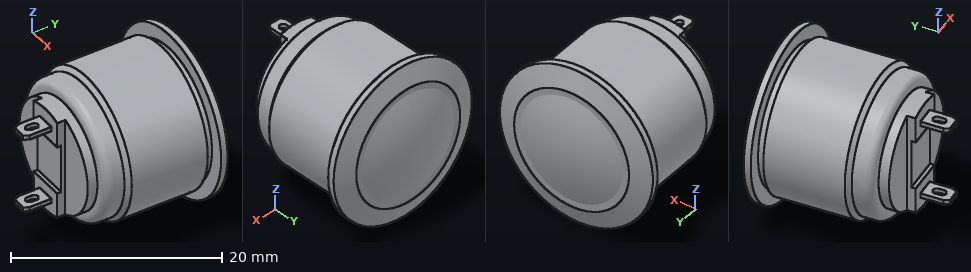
import cadquery as cq
import math


flange_radius = 18 / 2
flange_thickness = 0.75
cap_slope_height = 0.75
cap_slope_top_radius = 6.75
dome_radius = 12 / 2
dome_height = 1.07

body_radius = 15.8 / 2
neck_radius = 14.8 / 2
neck_length = 0.8
body_length = 8.55
body_chamfer = body_radius - neck_radius
collar_length = 2.15
collar_fillet = 0.9

base_radius = 12 / 2
base_length = 1.1
bar_width = 4.13
bar_height = 0.9
recess_width = 5.5
recess_depth = 0.45

terminal_spacing = 8.55
terminal_width = 2.05
terminal_thickness = 0.5
terminal_length = 3.0
tip_chamfer_side = 0.3
tip_chamfer_length = 0.55
eye_width = 0.8
eye_length = 1.35
eye_to_tip = 1.47

flange_top = flange_thickness
cap_slope_top = flange_top + cap_slope_height
dome_top = cap_slope_top + dome_height
neck_end = -neck_length
body_end = neck_end - body_length
chamfer_end = body_end - body_chamfer
collar_end = chamfer_end - collar_length
base_end = collar_end - base_length
bar_end = base_end - bar_height
terminal_end = bar_end - terminal_length


def make_housing():
    """Revolve the cap, body and collar profile about the Y axis."""
    sphere_radius = (dome_radius**2 + dome_height**2) / (2 * dome_height)
    mid_angle = math.asin(dome_radius / sphere_radius) / 2
    dome_mid = (
        sphere_radius * math.sin(mid_angle),
        dome_top - sphere_radius * (1 - math.cos(mid_angle)),
    )
    fillet_mid = (
        neck_radius - collar_fillet * (1 - math.sqrt(0.5)),
        collar_end + collar_fillet * (1 - math.sqrt(0.5)),
    )
    profile = (
        cq.Workplane("XY")
        .moveTo(0, dome_top)
        .threePointArc(dome_mid, (dome_radius, cap_slope_top))
        .lineTo(cap_slope_top_radius, cap_slope_top)
        .lineTo(flange_radius, flange_top)
        .lineTo(flange_radius, 0)
        .lineTo(neck_radius, 0)
        .lineTo(neck_radius, neck_end)
        .lineTo(body_radius, neck_end)
        .lineTo(body_radius, body_end)
        .lineTo(neck_radius, chamfer_end)
        .lineTo(neck_radius, collar_end + collar_fillet)
        .threePointArc(fillet_mid, (neck_radius - collar_fillet, collar_end))
        .lineTo(0, collar_end)
        .close()
    )
    return profile.revolve(360, (0, 0, 0), (0, 1, 0))


def make_base():
    """Round base carrying a raised bar with a shallow recess across its middle."""
    base_plane = cq.Workplane("XZ", origin=(0, collar_end, 0))
    disc = base_plane.circle(base_radius).extrude(base_length)
    full_height = base_length + bar_height
    bar = (
        base_plane.rect(bar_width, 2 * base_radius)
        .extrude(full_height)
        .intersect(base_plane.circle(base_radius).extrude(full_height))
    )
    recess = (
        cq.Workplane("XZ", origin=(0, bar_end + recess_depth, 0))
        .rect(bar_width, recess_width)
        .extrude(recess_depth)
    )
    return disc.union(bar).cut(recess)


def make_terminal(center_z):
    """Flat solder terminal with a chamfered tip and an oblong eye."""
    half_width = terminal_width / 2
    tip_half_width = half_width - tip_chamfer_side
    shoulder = terminal_end + tip_chamfer_length
    plane = cq.Workplane("XY", origin=(0, 0, center_z - terminal_thickness / 2))
    blade = plane.polyline(
        [
            (-half_width, bar_end),
            (-half_width, shoulder),
            (-tip_half_width, terminal_end),
            (tip_half_width, terminal_end),
            (half_width, shoulder),
            (half_width, bar_end),
        ]
    ).close().extrude(terminal_thickness)
    eye = (
        plane.center(0, terminal_end + eye_to_tip)
        .slot2D(eye_length, eye_width, 90)
        .extrude(terminal_thickness)
    )
    return blade.cut(eye)


result = make_housing().union(make_base())
for side in (-1, 1):
    result = result.union(make_terminal(side * terminal_spacing / 2))